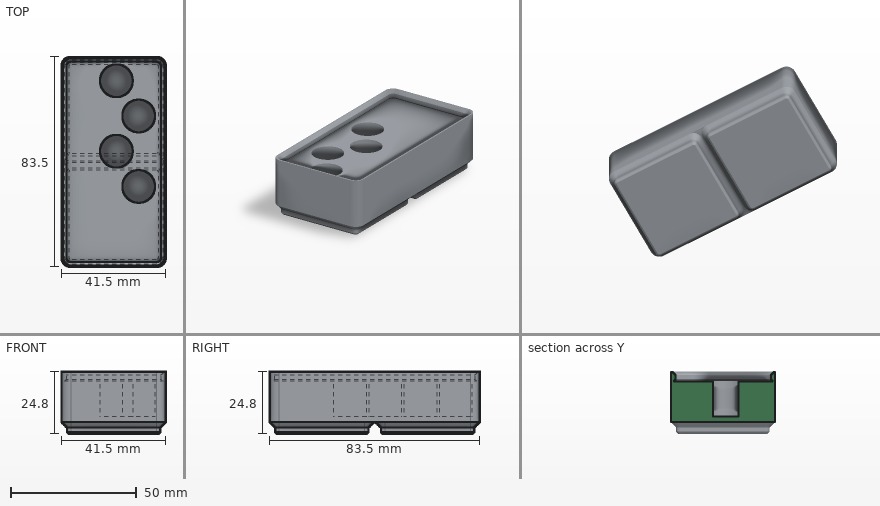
import cadquery as cq

length = 83.5
width = 41.5
height = 24.8
corner_radius = 3.75

foot_pitch = length - width
foot_chamfer = 0.8
foot_straight = 1.75
foot_flare = 2.2
foot_height = foot_chamfer + foot_straight + foot_flare

rim_width = 0.6
lip_chamfer = 1.3
lip_straight = 1.75
lip_undercut = 0.7
lip_height = lip_chamfer + lip_straight + lip_undercut
floor_z = height - lip_height

socket_diameter = 13.0
socket_pitch = foot_pitch / 3
socket_columns = (1.1, 9.9)
first_socket_y = 32.2
socket_count = 4
socket_floor_z = 7.0


def block(inset, size_y, z, rise, flare=0):
    """Rounded block whose sides move outward by flare over its rise."""
    sections = []
    for section_inset in (inset, inset - flare):
        sections.append(
            cq.Sketch()
            .rect(width - 2 * section_inset, size_y - 2 * section_inset)
            .vertices()
            .fillet(corner_radius - section_inset)
        )
    bottom, top = sections
    top = top.moved(cq.Location(cq.Vector(0, 0, rise)))
    return cq.Workplane("XY", origin=(0, 0, z)).placeSketch(bottom, top).loft()


def make_foot():
    """Foot with a chamfered bottom, straight sides and a flare up to the body outline."""
    straight_z = foot_chamfer
    flare_z = straight_z + foot_straight
    chamfer = block(foot_flare + foot_chamfer, width, 0, foot_chamfer, foot_chamfer)
    straight = block(foot_flare, width, straight_z, foot_straight)
    flare = block(foot_flare, width, flare_z, foot_flare, foot_flare)
    return chamfer.union(straight).union(flare)


def make_recess():
    """Space inside the lip: undercut at the floor, straight walls, then a flare up to the rim."""
    wall_inset = rim_width + lip_chamfer
    straight_z = floor_z + lip_undercut
    flare_z = straight_z + lip_straight
    undercut = block(wall_inset - lip_undercut, length, floor_z, lip_undercut, -lip_undercut)
    straight = block(wall_inset, length, straight_z, lip_straight)
    flare = block(wall_inset, length, flare_z, lip_chamfer, lip_chamfer)
    return undercut.union(straight).union(flare)


def make_sockets():
    centres = []
    for index in range(socket_count):
        x = socket_columns[index % len(socket_columns)]
        centres.append((x, first_socket_y - index * socket_pitch))
    return (
        cq.Workplane("XY", origin=(0, 0, socket_floor_z))
        .pushPoints(centres)
        .circle(socket_diameter / 2)
        .extrude(floor_z - socket_floor_z)
    )


result = block(0, length, foot_height, height - foot_height)
foot = make_foot()
for side in (-1, 1):
    result = result.union(foot.translate((0, side * foot_pitch / 2, 0)))
result = result.cut(make_recess()).cut(make_sockets())